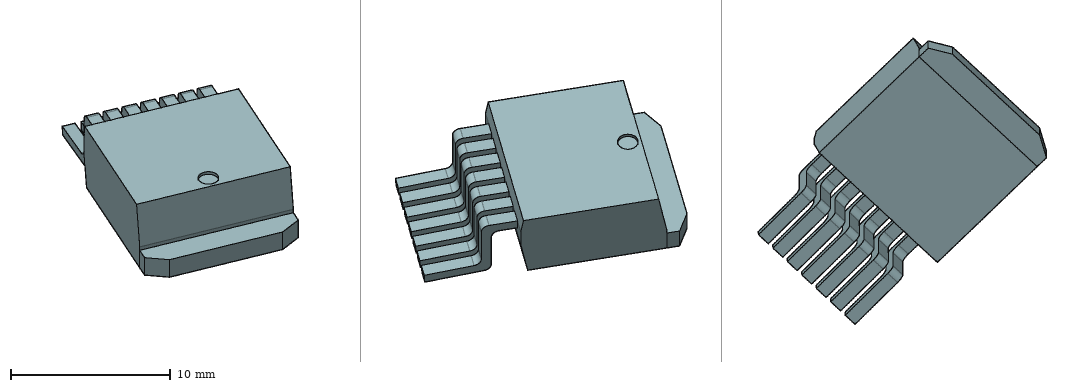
import cadquery as cq
import math


WIDTH = 10.4
HOUSING_LENGTH = 9.38
HOUSING_HEIGHT = 4.65
DRAFT = math.radians(10)
LEAD_SIDE_LOW = 2.51
LEAD_SIDE_HIGH = 3.67
TAB_SIDE_HIGH = 1.66

DIMPLE_DIAMETER = 1.29
DIMPLE_DEPTH = 0.2
DIMPLE_X = 8.01

LEAD_COUNT = 7
LEAD_PITCH = 1.27
LEAD_WIDTH = 0.87
LEAD_THICKNESS = 0.65
LEAD_SHANK_X = -2.32
LEAD_TIP_X = -5.99
FOOT_DROP = 0.63
FOOT_TILT = math.radians(3)
BEND_RADIUS = 0.5

TAB_HEIGHT = 1.4
TAB_LENGTH = 1.6
TAB_CORNER_X = 0.78
TAB_CORNER_Y = 1.37


def make_lead(y_centre):
    """Gull-wing lead with a tilted foot, an upright shank and a level arm that meets the housing."""
    inner_x = LEAD_SHANK_X + LEAD_THICKNESS
    tip_top_z = -FOOT_DROP + LEAD_THICKNESS * math.cos(FOOT_TILT)
    tip_bottom_x = LEAD_TIP_X + LEAD_THICKNESS * math.sin(FOOT_TILT)
    foot_slope = math.tan(FOOT_TILT)
    outline = [
        (0, LEAD_SIDE_HIGH),
        (LEAD_SHANK_X, LEAD_SIDE_HIGH),
        (LEAD_SHANK_X, tip_top_z + (LEAD_SHANK_X - LEAD_TIP_X) * foot_slope),
        (LEAD_TIP_X, tip_top_z),
        (tip_bottom_x, -FOOT_DROP),
        (inner_x, -FOOT_DROP + (inner_x - tip_bottom_x) * foot_slope),
        (inner_x, LEAD_SIDE_HIGH - LEAD_THICKNESS),
        (0, LEAD_SIDE_HIGH - LEAD_THICKNESS),
    ]
    bend_margin = LEAD_THICKNESS / 2
    bends = cq.selectors.BoxSelector(
        (LEAD_SHANK_X - bend_margin, -LEAD_WIDTH, -HOUSING_HEIGHT),
        (inner_x + bend_margin, LEAD_WIDTH, HOUSING_HEIGHT),
    )
    lead = cq.Workplane("XZ").polyline(outline).close().extrude(LEAD_WIDTH / 2, both=True)
    lead = lead.edges("|Y").edges(bends).fillet(BEND_RADIUS)
    return lead.translate((0, y_centre, 0))


def make_housing():
    """Moulded block with drafted ends, a dimple in its top, and the row of leads."""
    top_z = HOUSING_HEIGHT
    draft_slope = math.tan(DRAFT)
    outline = [
        (LEAD_SIDE_LOW * draft_slope, 0),
        (HOUSING_LENGTH, 0),
        (HOUSING_LENGTH, TAB_SIDE_HIGH),
        (HOUSING_LENGTH - (top_z - TAB_SIDE_HIGH) * draft_slope, top_z),
        ((top_z - LEAD_SIDE_HIGH) * draft_slope, top_z),
        (0, LEAD_SIDE_HIGH),
        (0, LEAD_SIDE_LOW),
    ]
    block = cq.Workplane("XZ").polyline(outline).close().extrude(WIDTH / 2, both=True)

    dimple = (
        cq.Workplane("XY", origin=(DIMPLE_X, 0, top_z - DIMPLE_DEPTH))
        .circle(DIMPLE_DIAMETER / 2)
        .extrude(DIMPLE_DEPTH)
    )
    block = block.cut(dimple)

    first_lead_y = -LEAD_PITCH * (LEAD_COUNT - 1) / 2
    for index in range(LEAD_COUNT):
        block = block.union(make_lead(first_lead_y + index * LEAD_PITCH))
    return block


def make_tab():
    """Full-width plate against the housing's end, with its two free corners cut off."""
    end_x = HOUSING_LENGTH + TAB_LENGTH
    half_width = WIDTH / 2
    outline = [
        (HOUSING_LENGTH, -half_width),
        (end_x - TAB_CORNER_X, -half_width),
        (end_x, -half_width + TAB_CORNER_Y),
        (end_x, half_width - TAB_CORNER_Y),
        (end_x - TAB_CORNER_X, half_width),
        (HOUSING_LENGTH, half_width),
    ]
    return cq.Workplane("XY").polyline(outline).close().extrude(TAB_HEIGHT)


housing = make_housing()
tab = make_tab()

result = cq.Compound.makeCompound([housing.val(), tab.val()])